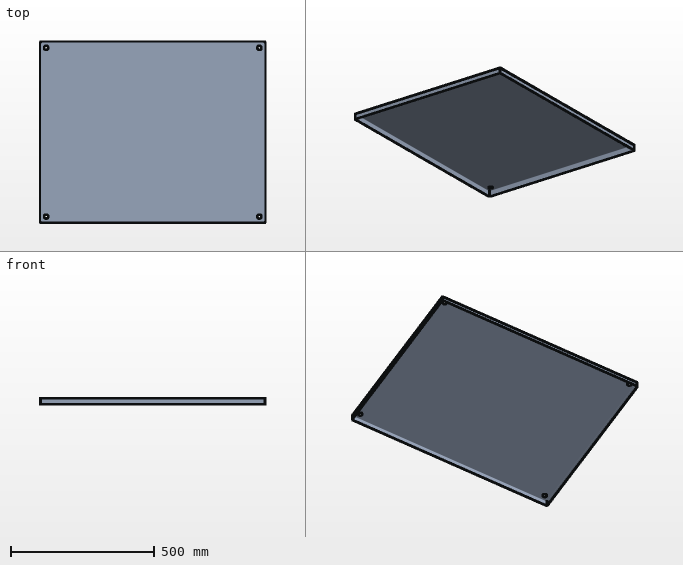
import cadquery as cq

length = 787.5
width = 632.0
height = 22.0

sheet_thickness = 1.5
bend_radius = 2 * sheet_thickness
inner_radius = bend_radius - sheet_thickness
corner_notch = bend_radius

hole_diameter = 14.0
hole_edge_distance = 22.0


def rounded_block(block_length, block_width, block_height, radius):
    """Block standing on Z = 0 with rounded top edges."""
    block = cq.Workplane("XY").box(
        block_length, block_width, block_height, centered=(True, True, False)
    )
    return block.faces(">Z").edges().fillet(radius)


outside = rounded_block(length, width, height, bend_radius)
inside = rounded_block(
    length - 2 * sheet_thickness,
    width - 2 * sheet_thickness,
    height - sheet_thickness,
    inner_radius,
)
tray = outside.cut(inside)

notches = (
    cq.Workplane("XY")
    .rect(length - corner_notch, width - corner_notch, forConstruction=True)
    .vertices()
    .rect(corner_notch, corner_notch)
    .extrude(height)
)

hole_spacing_x = length - 2 * hole_edge_distance
hole_spacing_y = width - 2 * hole_edge_distance
holes = (
    cq.Workplane("XY")
    .rect(hole_spacing_x, hole_spacing_y, forConstruction=True)
    .vertices()
    .circle(hole_diameter / 2)
    .extrude(height)
)

result = tray.cut(notches).cut(holes).translate((0, 0, -height / 2))